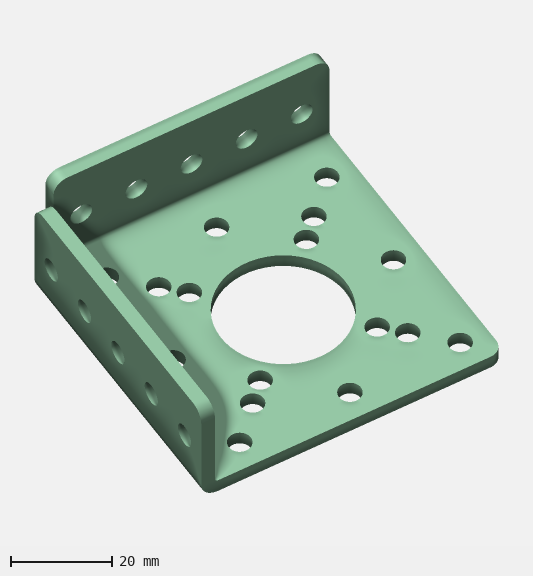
import cadquery as cq
import math

side = 69.85
pitch = side / 5.5
height = 2 * pitch
flange_start = pitch / 2

thickness = 3.15
inner_bend_radius = 0.8
outer_bend_radius = thickness + inner_bend_radius
corner_radius = 3.15

hole_diameter = 5.0
bore_diameter = 28.65
plate_center = 3 * pitch
flange_hole_count = 5
flange_hole_height = pitch
diagonal_offsets = (13.5, 17.9)


def make_base():
    """Flat plate between the bends, with a concave relief at the shared corner."""
    bend = outer_bend_radius
    relief_radius = flange_start - bend
    relief_mid = bend + relief_radius * math.sqrt(0.5)
    plate = (
        cq.Workplane("XY")
        .moveTo(bend, flange_start)
        .threePointArc((relief_mid, relief_mid), (flange_start, bend))
        .lineTo(side, bend)
        .lineTo(side, side)
        .lineTo(bend, side)
        .close()
        .extrude(thickness)
    )
    return plate.edges("|Z and >X and >Y").fillet(corner_radius)


def make_left_flange():
    """Bend and upright wall along the low-X side, with rounded top corners and holes."""
    bend = outer_bend_radius
    length = side - flange_start
    outer_mid = bend * (1 - math.sqrt(0.5))
    inner_mid = bend - inner_bend_radius * math.sqrt(0.5)
    flange = (
        cq.Workplane("XZ", origin=(0, side, 0))
        .moveTo(bend, 0)
        .threePointArc((outer_mid, outer_mid), (0, bend))
        .lineTo(0, height)
        .lineTo(thickness, height)
        .lineTo(thickness, bend)
        .threePointArc((inner_mid, inner_mid), (bend, thickness))
        .close()
        .extrude(length)
    )
    flange = flange.edges("|X and >Z").fillet(corner_radius)
    centers = [((i + 1) * pitch, flange_hole_height) for i in range(flange_hole_count)]
    holes = cq.Workplane("YZ").pushPoints(centers).circle(hole_diameter / 2).extrude(thickness)
    return flange.cut(holes)


def make_front_flange(left_flange):
    """Reflection of the left flange across the diagonal plane X = Y."""
    return left_flange.mirror("YZ").rotate((0, 0, 0), (0, 0, 1), -90)


def make_base_cutouts():
    """Central bore, square ring of eight holes and pairs of holes on the diagonals."""
    steps = (-1, 0, 1)
    ring_offset = 2 * pitch
    centers = [
        (x * ring_offset, y * ring_offset)
        for x in steps
        for y in steps
        if (x, y) != (0, 0)
    ]
    centers += [
        (x * offset, y * offset)
        for offset in diagonal_offsets
        for x in (-1, 1)
        for y in (-1, 1)
    ]
    plane = cq.Workplane("XY", origin=(plate_center, plate_center, 0))
    bore = plane.circle(bore_diameter / 2).extrude(thickness)
    holes = plane.pushPoints(centers).circle(hole_diameter / 2).extrude(thickness)
    return bore.union(holes)


left_flange = make_left_flange()
front_flange = make_front_flange(left_flange)
base = make_base().cut(make_base_cutouts())
result = base.union(left_flange).union(front_flange)